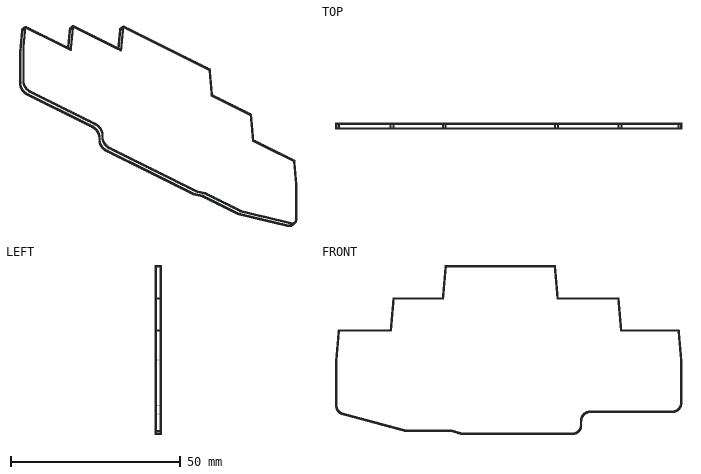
import cadquery as cq
import math

length = 101.9
thickness = 1.5
height = 49.5

step_rise = 9.5
middle_shelf_z = height - step_rise
lower_shelf_z = middle_shelf_z - step_rise
flank_angle = 5
flank_taper = math.tan(math.radians(flank_angle))
flank_run = step_rise * flank_taper

middle_left_x = 16.1
top_left_x = 31.5
top_right_x = 65.4
middle_right_x = 84.2

end_taper_z = 21.8
end_run = (lower_shelf_z - end_taper_z) * flank_taper

slope_foot_x = 20.5
flat_z = 0.9
slope_angle = 15
slope_top_z = flat_z + slope_foot_x * math.tan(math.radians(slope_angle))
ramp_start_x = 34.0
ramp_end_x = 37.1
foot_right_x = 72.3
ledge_z = 6.5
corner_radius = 2.6

outline = [
    (0, slope_top_z),
    (0, end_taper_z),
    (end_run, lower_shelf_z),
    (middle_left_x, lower_shelf_z),
    (middle_left_x + flank_run, middle_shelf_z),
    (top_left_x, middle_shelf_z),
    (top_left_x + flank_run, height),
    (top_right_x - flank_run, height),
    (top_right_x, middle_shelf_z),
    (middle_right_x - flank_run, middle_shelf_z),
    (middle_right_x, lower_shelf_z),
    (length - end_run, lower_shelf_z),
    (length, end_taper_z),
    (length, ledge_z),
    (foot_right_x, ledge_z),
    (foot_right_x, 0),
    (ramp_end_x, 0),
    (ramp_start_x, flat_z),
    (slope_foot_x, flat_z),
]
rounded_corners = [
    (0, slope_top_z),
    (length, ledge_z),
    (foot_right_x, ledge_z),
    (foot_right_x, 0),
]

plate = cq.Workplane("XZ").polyline(outline).close().extrude(thickness / 2, both=True)

for x, z in rounded_corners:
    corner_edge = cq.selectors.NearestToPointSelector((x, 0, z))
    plate = plate.edges("|Y").edges(corner_edge).fillet(corner_radius)

result = plate